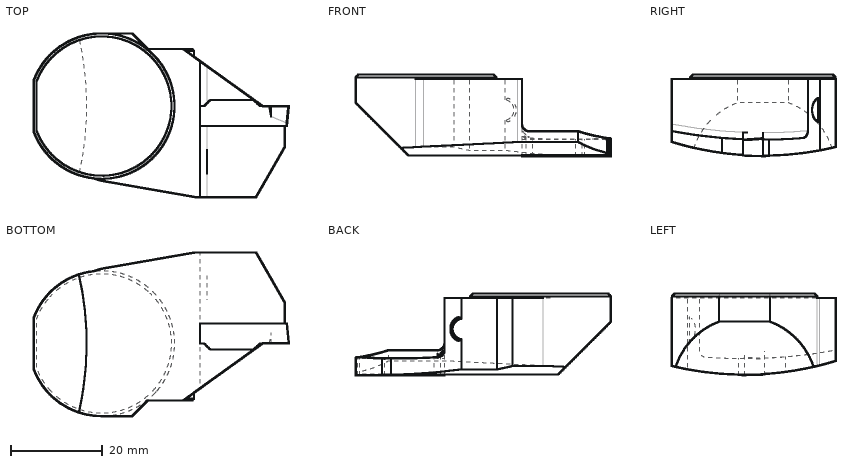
import cadquery as cq
import math


disc_radius = 16.0
disc_flat_x = -15.0
disc_chamfer = 0.7

depth = 18.0
underside_radius = 67.9
bevel_start_z = -6.2

block_top_z = -1.0
side_start_x = -1.85
side_bend_y = -16.45
front_y = -20.0
front_start_x = 20.6
wall_x = 21.6
blade_end_x = 40.2
blade_front_x = 33.9
blade_corner_y = -9.0
back_y = 12.55
back_slant_x = 17.85
slant_end_x = 35.35
shoulder_x = 10.1
shoulder_run = disc_radius - back_y

blade_low_z = -14.35
blade_top_radius = 107.7
step_fillet = 1.5

stub_radius = 2.8
stub_end_x = 20.3
stub_chamfer = 0.5
stub_length = 11.2
stub_z = -7.85

insert_top_z = -14.3
insert_underside_drop = 0.1
insert_front_y = -4.45
insert_tip_x = 41.1
insert_tip_taper = 0.45
insert_key_y = 1.35
insert_key_start_x = 22.5
insert_key_end_x = 33.3
insert_key_foot_x = 34.8
insert_chamfer = 0.15
ramp_wall_foot_x = 36.8
ramp_wall_crest_x = 37.2
ramp_corner_y = -2.3
ramp_end_y = -3.7
ramp_end_x = 40.55
ramp_tip_rise = 0.3


def arch_z(y, low_z, radius):
    """Height of a circular arch whose lowest point is at Y = 0."""
    return low_z + radius - math.sqrt(radius**2 - y**2)


def above_arch(low_z, radius, x_start):
    """Space above an arch that runs along X from x_start."""
    half_width = disc_radius + back_y
    length = 2 * insert_tip_x
    edge_z = arch_z(half_width, low_z, radius)
    return (
        cq.Workplane("YZ", origin=(x_start, 0, 0))
        .moveTo(-half_width, edge_z)
        .threePointArc((0, low_z), (half_width, edge_z))
        .lineTo(half_width, depth)
        .lineTo(-half_width, depth)
        .close()
        .extrude(length)
    )


def make_disc():
    flat_half_width = math.sqrt(disc_radius**2 - disc_flat_x**2)
    return (
        cq.Workplane("XY", origin=(0, 0, -depth))
        .moveTo(disc_flat_x, flat_half_width)
        .threePointArc((disc_radius, 0), (disc_flat_x, -flat_half_width))
        .close()
        .extrude(depth)
        .faces(">Z")
        .chamfer(disc_chamfer)
    )


def make_block():
    side_start_y = -math.sqrt(disc_radius**2 - side_start_x**2)
    outline = [
        (0, disc_radius),
        (0, 0),
        (side_start_x, side_start_y),
        (0, side_bend_y),
        (front_start_x, front_y),
        (blade_front_x, front_y),
        (blade_end_x, blade_corner_y),
        (blade_end_x, insert_front_y),
        (slant_end_x, insert_front_y),
        (slant_end_x, 0),
        (back_slant_x, back_y),
        (shoulder_x, back_y),
        (shoulder_x - shoulder_run, disc_radius),
    ]
    block = (
        cq.Workplane("XY", origin=(0, 0, -depth))
        .polyline(outline)
        .close()
        .extrude(depth + block_top_z)
    )
    step = (
        above_arch(blade_low_z, blade_top_radius, wall_x)
        .edges("<X")
        .edges("<Z")
        .fillet(step_fillet)
    )
    return block.cut(step)


def make_stub():
    return (
        cq.Workplane("XZ", origin=(stub_end_x - stub_radius, back_y, stub_z))
        .circle(stub_radius)
        .extrude(stub_length)
        .faces(">Y")
        .chamfer(stub_chamfer)
    )


def make_bevel_cut():
    """Wedge below the 45 degree plane on the -X side."""
    run = depth + bevel_start_z
    return (
        cq.Workplane("XZ", origin=(0, disc_radius, 0))
        .polyline([
            (disc_flat_x, bevel_start_z),
            (disc_flat_x + run, -depth),
            (disc_flat_x, -depth),
        ])
        .close()
        .extrude(2 * disc_radius)
    )


def make_insert_blank():
    outline = [
        (wall_x, insert_front_y),
        (insert_tip_x - insert_tip_taper, insert_front_y),
        (insert_tip_x, 0),
        (insert_key_foot_x, 0),
        (insert_key_end_x, insert_key_y),
        (insert_key_start_x + insert_key_y, insert_key_y),
        (insert_key_start_x, 0),
        (wall_x, 0),
    ]
    return (
        cq.Workplane("XY", origin=(0, 0, -depth))
        .polyline(outline)
        .close()
        .extrude(depth + insert_top_z)
    )


def make_tip_ramp():
    """Wedge that rises from the top of the insert to its highest point at the tip."""
    def top(x, y):
        return cq.Vector(x, y, insert_top_z)

    corner = top(ramp_wall_crest_x, ramp_corner_y)
    end = top(ramp_end_x, ramp_end_y)
    tip = cq.Vector(insert_tip_x, 0, insert_top_z + ramp_tip_rise)
    ramp_normal = (end - corner).cross(tip - corner)

    def ramp(x, y):
        lean = ramp_normal.x * (x - corner.x) + ramp_normal.y * (y - corner.y)
        return cq.Vector(x, y, insert_top_z - lean / ramp_normal.z)

    past_tip_x = insert_tip_x + ramp_tip_rise
    end_slope = (end.y - corner.y) / (end.x - corner.x)
    wall_foot = top(ramp_wall_foot_x, 0)
    wall_crest = ramp(ramp_wall_crest_x, 0)
    past_foot = top(past_tip_x, 0)
    past_crest = ramp(past_tip_x, 0)
    run_out = top(past_tip_x, corner.y + end_slope * (past_tip_x - corner.x))
    loops = [
        [wall_foot, wall_crest, corner],
        [corner, wall_crest, past_crest, run_out],
        [wall_foot, corner, run_out, past_foot],
        [wall_foot, past_foot, past_crest, wall_crest],
        [past_foot, run_out, past_crest],
    ]
    faces = [cq.Face.makeFromWires(cq.Wire.makePolygon(loop, close=True)) for loop in loops]
    wedge = cq.Workplane(cq.Solid.makeSolid(cq.Shell.makeShell(faces)))
    return wedge.intersect(make_insert_blank().translate((0, 0, ramp_tip_rise)))


insert_blank = make_insert_blank()

holder = (
    make_disc()
    .union(make_block())
    .union(make_stub())
    .cut(make_bevel_cut())
    .intersect(above_arch(-depth + insert_underside_drop, underside_radius, -insert_tip_x))
    .cut(insert_blank)
    .cut(insert_blank.translate((0, 0, step_fillet)))
)

insert = (
    insert_blank
    .intersect(above_arch(-depth, underside_radius, -insert_tip_x))
    .union(make_tip_ramp())
    .faces(">X")
    .edges(">Z")
    .chamfer(insert_chamfer)
)

result = cq.Compound.makeCompound([holder.val(), insert.val()])